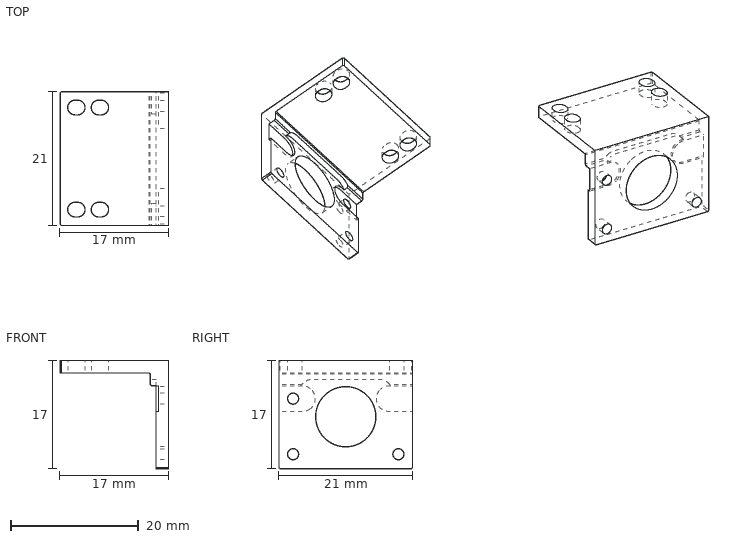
import cadquery as cq

width = 21.0
reach = 17.0
height = 17.0
thickness = 2.0
wall_face = reach - thickness

rib_face = reach - 2.9
rib_bottom = height - 4.01
rib_chamfer = 0.23
root_chamfer = 0.15
corner_chamfer = 0.2

bore_diameter = 9.4
bore_z = 8.17
relief_width = 14.53
relief_top = height - 2.98
relief_radius = 2.0

screw_diameter = 1.7
screw_y = 8.25
upper_screw_z = height - 6.0
lower_screw_z = 2.29

recess_height = 4.01
recess_length = 5.71
recess_depth = 0.42

slot_length = 2.69
slot_width = 2.27
slot_x_positions = (2.56, 6.25)
slot_y = 8.0


def block(x_range, y_range, z_range):
    """Box spanning the given ranges."""
    (x0, x1), (y0, y1), (z0, z1) = x_range, y_range, z_range
    return cq.Workplane("XY").box(x1 - x0, y1 - y0, z1 - z0, centered=False).translate((x0, y0, z0))


def cylinder_along_x(diameter, y, z, x_start, length):
    """Cylinder running in +X from x_start."""
    return cq.Workplane("YZ", origin=(x_start, y, z)).circle(diameter / 2).extrude(length)


def bracket_body():
    plate_bottom = height - thickness
    body = (
        cq.Workplane("XZ")
        .moveTo(0, height)
        .lineTo(reach, height)
        .lineTo(reach, 0)
        .lineTo(wall_face, 0)
        .lineTo(wall_face, rib_bottom)
        .lineTo(rib_face + rib_chamfer, rib_bottom)
        .lineTo(rib_face, rib_bottom + rib_chamfer)
        .lineTo(rib_face, plate_bottom - root_chamfer)
        .lineTo(rib_face - root_chamfer, plate_bottom)
        .lineTo(0, plate_bottom)
        .close()
        .extrude(width / 2, both=True)
    )
    body = body.faces("<X").edges("|Z").chamfer(corner_chamfer)
    return body.faces("<Z").edges("|X").chamfer(corner_chamfer)


def rib_relief():
    half_width = relief_width / 2
    x_range = (rib_face, wall_face)
    relief = block(x_range, (-half_width, half_width), (bore_z, relief_top))
    return relief.faces(">Z").edges("|X").fillet(relief_radius)


def side_recess(side):
    """Recess from the side face (side = -1 or 1) to its round inner end."""
    radius = recess_height / 2
    center_z = rib_bottom - radius
    center_y = side * (width / 2 - recess_length + radius)
    y_range = sorted((center_y, side * width / 2))
    x_range = (wall_face, wall_face + recess_depth)
    straight = block(x_range, y_range, (rib_bottom - recess_height, rib_bottom))
    return straight.union(cylinder_along_x(recess_height, center_y, center_z, wall_face, recess_depth))


result = bracket_body().cut(rib_relief())

for side in (-1, 1):
    result = result.cut(side_recess(side))

result = result.cut(cylinder_along_x(bore_diameter, 0, bore_z, wall_face, thickness))

screw_positions = (
    (-screw_y, upper_screw_z),
    (-screw_y, lower_screw_z),
    (screw_y, lower_screw_z),
)
for y, z in screw_positions:
    result = result.cut(cylinder_along_x(screw_diameter, y, z, wall_face, thickness))

slot_centers = [(x, y) for x in slot_x_positions for y in (-slot_y, slot_y)]
slots = (
    cq.Workplane("XY", origin=(0, 0, height))
    .pushPoints(slot_centers)
    .slot2D(slot_length, slot_width)
    .extrude(-thickness)
)
result = result.cut(slots)